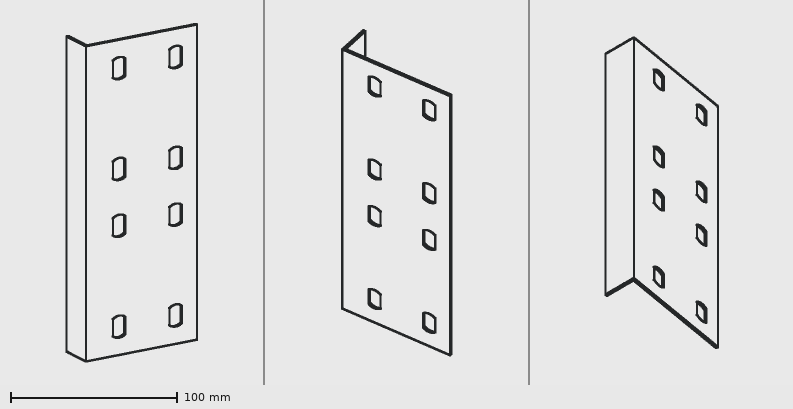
import cadquery as cq

flange_width = 22.5
web_width = 78.8
length = 200.0
thickness = 1.5

hole_height = 14.0
hole_width = 8.8
hole_column_spacing = 40.0
first_column_y = 23.5
inner_row_offset = 18.0
outer_row_offset = 82.0

web_inner_x = flange_width - thickness
mid_height = length / 2


def make_angle():
    """L-shaped profile with a sharp bend, extruded along Z."""
    profile = [
        (0, 0),
        (flange_width, 0),
        (flange_width, web_width),
        (web_inner_x, web_width),
        (web_inner_x, thickness),
        (0, thickness),
    ]
    return cq.Workplane("XY").polyline(profile).close().extrude(length)


def make_hole_cutters():
    """Cylinders along X trimmed to the hole width, one for each opening."""
    row_offsets = (-outer_row_offset, -inner_row_offset, inner_row_offset, outer_row_offset)
    centers = [
        (first_column_y + column * hole_column_spacing, mid_height + offset)
        for column in range(2)
        for offset in row_offsets
    ]
    web_plane = cq.Workplane("YZ", origin=(web_inner_x, 0, 0))
    cylinders = web_plane.pushPoints(centers).circle(hole_height / 2).extrude(thickness)
    flat_blocks = web_plane.pushPoints(centers).rect(hole_width, hole_height).extrude(thickness)
    return cylinders.intersect(flat_blocks)


result = make_angle().cut(make_hole_cutters())